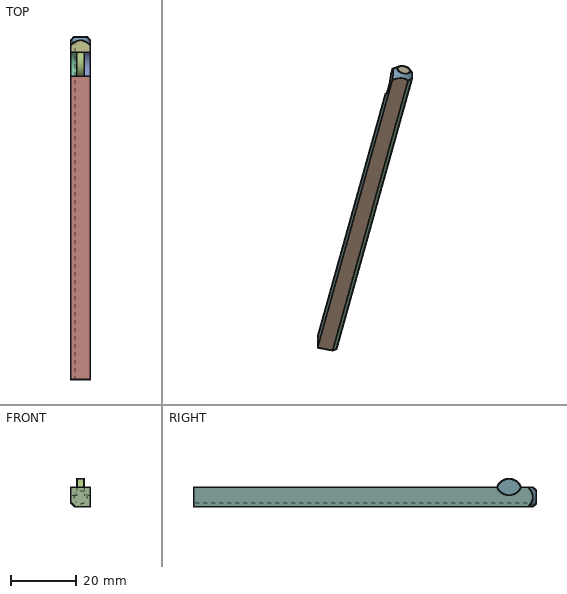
import cadquery as cq

length = 105.0
width = 6.0
edge_chamfer = 1.3

end_face_radius = 2.0
bevel_length = 2.6
bevel_slope = 1.1

rib_height = 2.6
groove_depth = 2.4
rib_chord = 7.4
rib_thickness = 2.2
rib_from_end = 8.4

half_length = length / 2
half_width = width / 2
rib_y = half_length - rib_from_end


def make_bar():
    bar = cq.Workplane("XY").box(width, length, width)
    return bar.edges("|Y").edges("<X and <Z").chamfer(edge_chamfer)


def make_end_bevel_envelope():
    """Round solid about the Y axis whose +Y end tapers as a cone."""
    cone_radius = end_face_radius + bevel_length / bevel_slope
    return (
        cq.Workplane("XY")
        .moveTo(0, -half_length)
        .lineTo(cone_radius, -half_length)
        .lineTo(cone_radius, half_length - bevel_length)
        .lineTo(end_face_radius, half_length)
        .lineTo(0, half_length)
        .close()
        .revolve(360, (0, 0, 0), (0, 1, 0))
    )


def make_lens(thickness):
    """Upper and lower arcs meeting at the top face, extruded across X."""
    half_chord = rib_chord / 2
    return (
        cq.Workplane("YZ")
        .moveTo(rib_y - half_chord, half_width)
        .threePointArc((rib_y, half_width + rib_height), (rib_y + half_chord, half_width))
        .threePointArc((rib_y, half_width - groove_depth), (rib_y - half_chord, half_width))
        .close()
        .extrude(thickness / 2, both=True)
    )


bar = make_bar().intersect(make_end_bevel_envelope())
result = bar.cut(make_lens(width)).union(make_lens(rib_thickness))